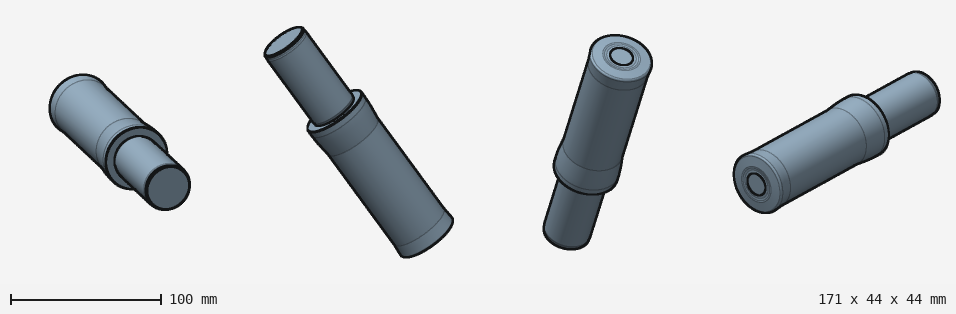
import cadquery as cq

total_length = 171.0

barrel_radius = 41.0 / 2
collar_radius = 44.0 / 2
housing_length = 110.8
flare_start = 89.0
collar_start = 106.0
flare_bulge = 0.3
collar_chamfer = 0.3
band_radius = 42.4 / 2
band_start = 2.2
band_end = 11.0

face_rim_radius = 19.8
face_rim_depth = 0.9
rounding_depth_share = 0.3
rounding_rise_share = 0.7
crest_radius = 12.8
lip_radius = 11.6
lip_depth = 0.09
valley_radius = 10.1
valley_depth = 0.25
recess_rim_radius = 7.9
recess_rim_depth = 0.09
recess_floor_radius = 7.2
recess_floor_depth = 0.25

rod_radius = 32.0 / 2
neck_radius = 31.5 / 2
inner_neck_length = 1.2
inner_step_length = 0.9
outer_neck_length = 2.7
outer_step_length = 1.0
tip_chamfer = 0.9


def revolve_about_x(profile):
    """Close a profile drawn in (X, radius) and turn it about the X axis."""
    return profile.close().revolve(360, (0, 0, 0), (1, 0, 0))


def make_housing():
    flare_middle = (
        (flare_start + collar_start) / 2,
        (barrel_radius + collar_radius) / 2 + flare_bulge,
    )
    rounding_middle = (
        face_rim_depth + (band_start - face_rim_depth) * rounding_depth_share,
        face_rim_radius + (band_radius - face_rim_radius) * rounding_rise_share,
    )
    profile = (
        cq.Workplane("XY")
        .moveTo(recess_floor_depth, 0)
        .lineTo(recess_floor_depth, recess_floor_radius)
        .lineTo(recess_rim_depth, recess_rim_radius)
        .lineTo(valley_depth, valley_radius)
        .lineTo(lip_depth, lip_radius)
        .lineTo(0, crest_radius)
        .lineTo(face_rim_depth, face_rim_radius)
        .threePointArc(rounding_middle, (band_start, band_radius))
        .lineTo(band_end, barrel_radius)
        .lineTo(flare_start, barrel_radius)
        .threePointArc(flare_middle, (collar_start, collar_radius))
        .lineTo(housing_length - collar_chamfer, collar_radius)
        .lineTo(housing_length, collar_radius - collar_chamfer)
        .lineTo(housing_length, 0)
    )
    return revolve_about_x(profile)


def make_rod():
    """Rod standing on the rear face of the housing."""
    inner_step_start = housing_length + inner_neck_length
    outer_neck_start = total_length - outer_neck_length
    profile = (
        cq.Workplane("XY")
        .moveTo(housing_length, 0)
        .lineTo(housing_length, neck_radius)
        .lineTo(inner_step_start, neck_radius)
        .lineTo(inner_step_start + inner_step_length, rod_radius)
        .lineTo(outer_neck_start - outer_step_length, rod_radius)
        .lineTo(outer_neck_start, neck_radius)
        .lineTo(total_length - tip_chamfer, neck_radius)
        .lineTo(total_length, neck_radius - tip_chamfer)
        .lineTo(total_length, 0)
    )
    return revolve_about_x(profile)


housing = make_housing()
rod = make_rod()

result = cq.Compound.makeCompound([housing.val(), rod.val()])